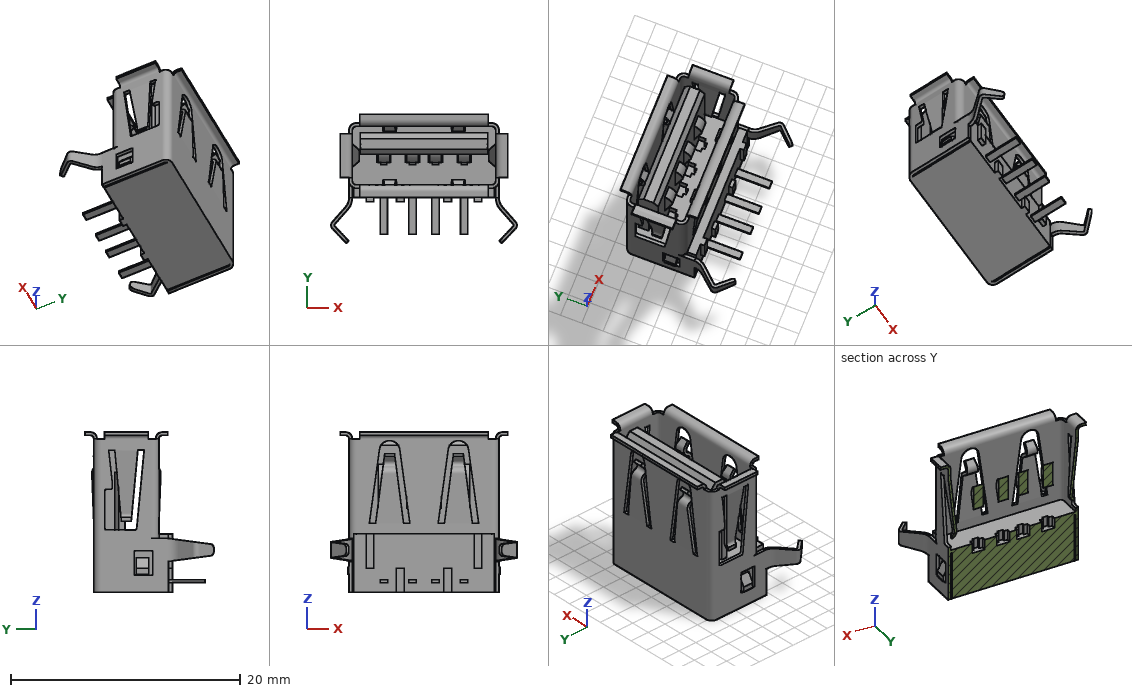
import cadquery as cq
import math


SHEET = 0.3
SHELL_X = 13.1
SHELL_Y = 5.7
CORNER_RADIUS = 0.65
WALL_TOP = 13.4
SIDE_PLATE_Y = -3.68
SIDE_PLATE_TOP = 4.74
HALF_X = SHELL_X / 2
HALF_Y = SHELL_Y / 2
INNER_X = HALF_X - SHEET
INNER_Y = HALF_Y - SHEET

LIP_RADIUS = 0.6
LIP_FLAT = 0.47
LIP_LENGTH_X = 11.25
LIP_LENGTH_Y = 3.84

FINGER_X = 3.0
FINGER_ROOT_Z = 6.02
FINGER_ROOT_HALF = 1.22
FINGER_TIP_HALF = 0.43
FINGER_TIP_Z = 12.1
FINGER_LEAN, FINGER_DIP, FINGER_FLARE = 2.2, 70, 42
FINGER_ROOT_RADIUS, FINGER_CREST_RADIUS, FINGER_DIP_RADIUS = 0.5, 0.467, 0.461
FINGER_STEM, FINGER_TIP_LENGTH = 4.33, 0.59
FINGER_SLOT_HALF = 1.77
FINGER_SLOT_TOP = 13.24
FINGER_SLOT_SLOPE = 0.137

SIDE_FINGER_ROOT_Z = 12.41
SIDE_FINGER_TIP_Z = 6.15
SIDE_FINGER_ROOT_HALF = 1.01
SIDE_FINGER_TIP_HALF = 0.43
SIDE_FINGER_LEAN, SIDE_FINGER_FLARE = 6.1, 62
SIDE_FINGER_ROOT_RADIUS, SIDE_FINGER_FLARE_RADIUS = 0.2, 0.514
SIDE_FINGER_STEM, SIDE_FINGER_TIP_LENGTH = 5.5, 0.3
SIDE_FINGER_TIP_X = 6.155
SIDE_FINGER_TRIM_Z = 7.0
SIDE_SLOT_HALF = 1.54
SIDE_SLOT_BOTTOM = 5.45
SIDE_SLOT_BOTTOM_HALF = 0.88
SIDE_NOTCH_Y = (1.22, 1.88)
SIDE_NOTCH_TOP = 9.0
SIDE_SLOT_UPRIGHT_TOP = 9.5
SIDE_SLOT_FILLET = 0.16
ROOT_OVERLAP = 0.1

LATCH_Y = (-2.3, -0.69)
LATCH_Z = (1.51, 3.63)
LATCH_FILLET = 0.1
WEDGE_Y = (-1.94, -0.88)
WEDGE_Z = (1.57, 2.1, 3.04)
WEDGE_X = 6.67

LEG_Z = 3.71
LEG_ROOT_HALF = 1.01
LEG_TIP_HALF = 0.48
LEG_SPREAD, LEG_HOOK = 41.5, 43.5
LEG_SPREAD_RADIUS, LEG_ELBOW_RADIUS = 1.39, 0.27
LEG_REACH, LEG_RETURN = 1.733, 1.78
LEG_TIP_Y = -7.66
LEG_TIP_FILLET = 0.45

HOUSING_HALF_X = 6.14
HOUSING_FRONT_Y = -3.67
FLOOR_Z = 5.1
TONGUE_HALF_X = 5.56
TONGUE_Y = (0.1, 1.97)
TONGUE_TOP = 13.46
TONGUE_CHAMFER_Y = (0.44, 0.52)
TONGUE_CHAMFER_Z = 0.6
GROOVE_Y = (0.68, 1.0)
GROOVE_DEPTH = 0.6
GROOVE_TOP = 10.5
RIB_FRONT_Y = -4.03
RIB_SPLIT_Z = 2.1
UPPER_RIB_X, UPPER_RIB_WIDTH = 4.71, 0.66
LOWER_RIB_X, LOWER_RIB_WIDTH = 2.07, 0.7

CONTACT_XS = (-3.5, -1.0, 1.0, 3.5)
CONTACT_WIDTH = 1.0
CONTACT_CREST_Y = -0.56
CONTACT_TOP, CONTACT_CREST_Z, CONTACT_FOOT = 11.17, 9.7, 7.35
POCKET_WIDTH = 1.24
POCKET_Y = -0.58
POCKET_DEPTH = 1.0
POCKET_TAB_WIDTH = 0.54
POCKET_TAB_Y = -0.82
PIN_WIDTH = 0.67
PIN_Z = (0.86, 1.11)
PIN_TIP_Y = -6.88


def box(x_range, y_range, z_range):
    (x0, x1), (y0, y1), (z0, z1) = x_range, y_range, z_range
    return cq.Workplane("XY").box(x1 - x0, y1 - y0, z1 - z0, centered=False).translate((x0, y0, z0))


def with_mirror(solid, plane):
    return solid.union(solid.mirror(plane))


def bent_strip(plane, start, heading, moves, width):
    """Sheet strip following straights (length,) and bends (angle, radius), centred on `plane`.

    Headings are in degrees from the plane's first axis; positive bends turn left.
    """
    half = SHEET / 2
    x, y = start
    angle = math.radians(heading)

    def sides(px, py, direction):
        nx, ny = -math.sin(direction) * half, math.cos(direction) * half
        return (px + nx, py + ny), (px - nx, py - ny)

    stations = [(None, sides(x, y, angle))]
    for move in moves:
        middle = None
        if len(move) == 1:
            x += move[0] * math.cos(angle)
            y += move[0] * math.sin(angle)
        else:
            turn, radius = math.radians(move[0]), math.copysign(move[1], move[0])
            cx, cy = x - radius * math.sin(angle), y + radius * math.cos(angle)

            def on_arc(direction):
                return cx + radius * math.sin(direction), cy - radius * math.cos(direction)

            middle = sides(*on_arc(angle + turn / 2), angle + turn / 2)
            angle += turn
            x, y = on_arc(angle)
        stations.append((middle, sides(x, y, angle)))

    outline = cq.Workplane(plane).moveTo(*stations[0][1][0])
    for middle, end in stations[1:]:
        outline = outline.threePointArc(middle[0], end[0]) if middle else outline.lineTo(*end[0])
    outline = outline.lineTo(*stations[-1][1][1])
    for (middle, _), (_, end) in zip(stations[:0:-1], stations[-2::-1]):
        outline = outline.threePointArc(middle[1], end[1]) if middle else outline.lineTo(*end[1])
    return outline.close().extrude(width / 2, both=True)


def make_walls():
    outer = cq.Workplane("XY").rect(SHELL_X, SHELL_Y).extrude(WALL_TOP).edges("|Z").fillet(CORNER_RADIUS)
    inner = cq.Workplane("XY").rect(2 * INNER_X, 2 * INNER_Y).extrude(WALL_TOP)
    inner = inner.edges("|Z").fillet(CORNER_RADIUS - SHEET)
    walls = outer.cut(inner)
    front_y = -HALF_Y + CORNER_RADIUS
    walls = walls.cut(box((-HALF_X, HALF_X), (-HALF_Y, front_y), (0, SIDE_PLATE_TOP)))
    plate = box((INNER_X, HALF_X), (SIDE_PLATE_Y, front_y), (0, SIDE_PLATE_TOP))
    return walls.union(with_mirror(plate, "YZ"))


def make_lips():
    radius = LIP_RADIUS - SHEET / 2
    moves = [(-90, radius), (LIP_FLAT,)]
    side = bent_strip("XZ", (HALF_X - SHEET / 2, WALL_TOP), 90, moves, LIP_LENGTH_Y)
    back = bent_strip("YZ", (HALF_Y - SHEET / 2, WALL_TOP), 90, moves, LIP_LENGTH_X)
    return with_mirror(side, "YZ").union(with_mirror(back, "XZ"))


def finger_slot(x):
    tilt = math.atan(FINGER_SLOT_SLOPE)
    rise = FINGER_SLOT_TOP - FINGER_ROOT_Z
    radius = (FINGER_SLOT_HALF - FINGER_SLOT_SLOPE * rise) / (1 / math.cos(tilt) - FINGER_SLOT_SLOPE)
    tangent_x = radius * math.cos(tilt)
    tangent_z = FINGER_SLOT_TOP - radius + radius * math.sin(tilt)
    return (
        cq.Workplane("XZ")
        .moveTo(x - FINGER_SLOT_HALF, FINGER_ROOT_Z)
        .lineTo(x - tangent_x, tangent_z)
        .threePointArc((x, FINGER_SLOT_TOP), (x + tangent_x, tangent_z))
        .lineTo(x + FINGER_SLOT_HALF, FINGER_ROOT_Z)
        .close()
        .extrude(SHELL_Y, both=True)
    )


def finger(x):
    """Back-wall finger: leans out slightly, dips into the mouth, and flares at its tip."""
    moves = [
        (ROOT_OVERLAP,),
        (-FINGER_LEAN, FINGER_ROOT_RADIUS),
        (FINGER_STEM,),
        (FINGER_DIP + FINGER_LEAN, FINGER_CREST_RADIUS),
        (-FINGER_DIP - FINGER_FLARE, FINGER_DIP_RADIUS),
        (FINGER_TIP_LENGTH,),
    ]
    strip = bent_strip("YZ", (HALF_Y - SHEET / 2, FINGER_ROOT_Z - ROOT_OVERLAP), 90, moves, SHELL_X)
    slope = (FINGER_ROOT_HALF - FINGER_TIP_HALF) / (FINGER_TIP_Z - FINGER_ROOT_Z)
    bottom, top = FINGER_ROOT_Z - ROOT_OVERLAP, WALL_TOP
    bottom_half = FINGER_ROOT_HALF + slope * ROOT_OVERLAP
    top_half = FINGER_ROOT_HALF - slope * (top - FINGER_ROOT_Z)
    taper = (
        cq.Workplane("XZ")
        .polyline([
            (x - bottom_half, bottom),
            (x - top_half, top),
            (x + top_half, top),
            (x + bottom_half, bottom),
        ])
        .close()
        .extrude(SHELL_Y, both=True)
    )
    return strip.intersect(taper)


def side_slot():
    notch_inner, notch_outer = SIDE_NOTCH_Y
    outline = [
        (-SIDE_SLOT_HALF, SIDE_FINGER_ROOT_Z),
        (-SIDE_SLOT_BOTTOM_HALF, SIDE_SLOT_BOTTOM),
        (notch_outer, SIDE_SLOT_BOTTOM),
        (notch_outer, SIDE_NOTCH_TOP),
        (notch_inner, SIDE_NOTCH_TOP),
        (notch_inner, SIDE_SLOT_UPRIGHT_TOP),
        (SIDE_SLOT_HALF, SIDE_FINGER_ROOT_Z),
    ]
    slot = cq.Workplane("YZ").polyline(outline).close().extrude(SHELL_X, both=True)
    lower_corners = cq.selectors.BoxSelector(
        (-SHELL_X, -HALF_Y, 0),
        (SHELL_X, HALF_Y, (SIDE_NOTCH_TOP + SIDE_SLOT_UPRIGHT_TOP) / 2),
    )
    return slot.edges("|X").edges(lower_corners).fillet(SIDE_SLOT_FILLET)


def side_finger():
    """Right-wall finger: hangs down leaning into the mouth, with its tip turned outward."""
    moves = [
        (ROOT_OVERLAP,),
        (-SIDE_FINGER_LEAN, SIDE_FINGER_ROOT_RADIUS),
        (SIDE_FINGER_STEM,),
        (SIDE_FINGER_LEAN + SIDE_FINGER_FLARE, SIDE_FINGER_FLARE_RADIUS),
        (SIDE_FINGER_TIP_LENGTH,),
    ]
    strip = bent_strip("XZ", (HALF_X - SHEET / 2, SIDE_FINGER_ROOT_Z + ROOT_OVERLAP), -90, moves, SHELL_Y)
    tip_offcut = box((SIDE_FINGER_TIP_X, SHELL_X), (-HALF_Y, HALF_Y), (SIDE_SLOT_BOTTOM, SIDE_FINGER_TRIM_Z))
    strip = strip.cut(tip_offcut)
    slope = (SIDE_FINGER_ROOT_HALF - SIDE_FINGER_TIP_HALF) / (SIDE_FINGER_ROOT_Z - SIDE_FINGER_TIP_Z)
    top, bottom = SIDE_FINGER_ROOT_Z + ROOT_OVERLAP, FLOOR_Z
    top_half = SIDE_FINGER_ROOT_HALF + slope * ROOT_OVERLAP
    bottom_half = SIDE_FINGER_ROOT_HALF - slope * (SIDE_FINGER_ROOT_Z - bottom)
    taper = (
        cq.Workplane("YZ")
        .polyline([(-top_half, top), (-bottom_half, bottom), (bottom_half, bottom), (top_half, top)])
        .close()
        .extrude(SHELL_X, both=True)
    )
    return strip.intersect(taper)


def latch_window():
    window = box((-SHELL_X, SHELL_X), LATCH_Y, LATCH_Z)
    return window.edges("|X").fillet(LATCH_FILLET)


def make_leg():
    """Right-hand leg: spreads outward from the side plate, then hooks back in to a rounded tip."""
    moves = [
        (LEG_SPREAD, LEG_SPREAD_RADIUS),
        (LEG_REACH,),
        (-LEG_SPREAD - LEG_HOOK, LEG_ELBOW_RADIUS),
        (LEG_RETURN,),
    ]
    strip = bent_strip("XY", (HALF_X - SHEET / 2, SIDE_PLATE_Y), -90, moves, 2 * FLOOR_Z)
    taper = (
        cq.Workplane("YZ")
        .polyline([
            (SIDE_PLATE_Y, LEG_Z - LEG_ROOT_HALF),
            (SIDE_PLATE_Y, LEG_Z + LEG_ROOT_HALF),
            (LEG_TIP_Y, LEG_Z + LEG_TIP_HALF),
            (LEG_TIP_Y, LEG_Z - LEG_TIP_HALF),
        ])
        .close()
        .extrude(SHELL_X)
    )
    leg = strip.intersect(taper)
    return leg.faces("<Y").edges("not |Z").fillet(LEG_TIP_FILLET)


def make_shell():
    shell = make_walls().union(make_lips())
    shell = shell.cut(side_slot()).cut(latch_window())
    for x in (-FINGER_X, FINGER_X):
        shell = shell.cut(finger_slot(x)).union(with_mirror(finger(x), "XZ"))
    shell = shell.union(with_mirror(side_finger(), "YZ"))
    return shell.union(with_mirror(make_leg(), "YZ"))


def make_tongue():
    front, back = TONGUE_Y
    front_run, back_run = TONGUE_CHAMFER_Y
    shoulder = TONGUE_TOP - TONGUE_CHAMFER_Z
    tongue = (
        cq.Workplane("YZ")
        .polyline([
            (front, FLOOR_Z),
            (front, shoulder),
            (front + front_run, TONGUE_TOP),
            (back - back_run, TONGUE_TOP),
            (back, shoulder),
            (back, FLOOR_Z),
        ])
        .close()
        .extrude(TONGUE_HALF_X, both=True)
    )
    groove = (
        cq.Workplane("XY", origin=(0, 0, FLOOR_Z))
        .polyline([
            (TONGUE_HALF_X, GROOVE_Y[0]),
            (TONGUE_HALF_X, GROOVE_Y[1]),
            (TONGUE_HALF_X - GROOVE_DEPTH, GROOVE_Y[1]),
        ])
        .close()
        .extrude(GROOVE_TOP - FLOOR_Z)
    )
    return tongue.cut(with_mirror(groove, "YZ"))


def make_ribs():
    y_range = (RIB_FRONT_Y, HOUSING_FRONT_Y)

    def rib(x, width, z_range):
        return box((x - width / 2, x + width / 2), y_range, z_range)

    upper = rib(UPPER_RIB_X, UPPER_RIB_WIDTH, (RIB_SPLIT_Z, FLOOR_Z))
    lower = rib(LOWER_RIB_X, LOWER_RIB_WIDTH, (0, RIB_SPLIT_Z))
    return with_mirror(upper.union(lower), "YZ")


def latch_wedge():
    bottom, foot, top = WEDGE_Z
    return (
        cq.Workplane("XZ", origin=(0, WEDGE_Y[1], 0))
        .polyline([(HOUSING_HALF_X, bottom), (WEDGE_X, bottom), (WEDGE_X, foot), (HOUSING_HALF_X, top)])
        .close()
        .extrude(WEDGE_Y[1] - WEDGE_Y[0])
    )


def contact_pocket(x):
    z_range = (FLOOR_Z - POCKET_DEPTH, FLOOR_Z)
    front = TONGUE_Y[0]
    pocket = box((x - POCKET_WIDTH / 2, x + POCKET_WIDTH / 2), (POCKET_Y, front), z_range)
    tab = box((x - POCKET_TAB_WIDTH / 2, x + POCKET_TAB_WIDTH / 2), (POCKET_TAB_Y, front), z_range)
    return pocket.union(tab)


def contact(x):
    """Bowed contact on the tongue's front face: rounded above its crest, sloping back below it."""
    front = TONGUE_Y[0]
    return (
        cq.Workplane("YZ", origin=(x, 0, 0))
        .moveTo(front, CONTACT_FOOT)
        .lineTo(CONTACT_CREST_Y, CONTACT_CREST_Z)
        .tangentArcPoint((front, CONTACT_TOP), relative=False)
        .close()
        .extrude(CONTACT_WIDTH / 2, both=True)
    )


def pin(x):
    return box((x - PIN_WIDTH / 2, x + PIN_WIDTH / 2), (PIN_TIP_Y, HOUSING_FRONT_Y), PIN_Z)


def make_housing():
    across = (-HOUSING_HALF_X, HOUSING_HALF_X)
    housing = box(across, (HOUSING_FRONT_Y, -HALF_Y), (0, FLOOR_Z))
    housing = housing.union(box(across, (-HALF_Y, INNER_Y), (0, SIDE_PLATE_TOP)))
    floor = cq.Workplane("XY", origin=(0, 0, SIDE_PLATE_TOP)).rect(2 * INNER_X, 2 * INNER_Y)
    floor = floor.extrude(FLOOR_Z - SIDE_PLATE_TOP).edges("|Z").fillet(CORNER_RADIUS - SHEET)
    housing = housing.union(floor).union(make_ribs()).union(with_mirror(latch_wedge(), "YZ"))
    for x in CONTACT_XS:
        housing = housing.cut(contact_pocket(x)).union(pin(x))
    housing = housing.union(make_tongue())
    for x in CONTACT_XS:
        housing = housing.union(contact(x))
    return housing


result = make_shell().union(make_housing())